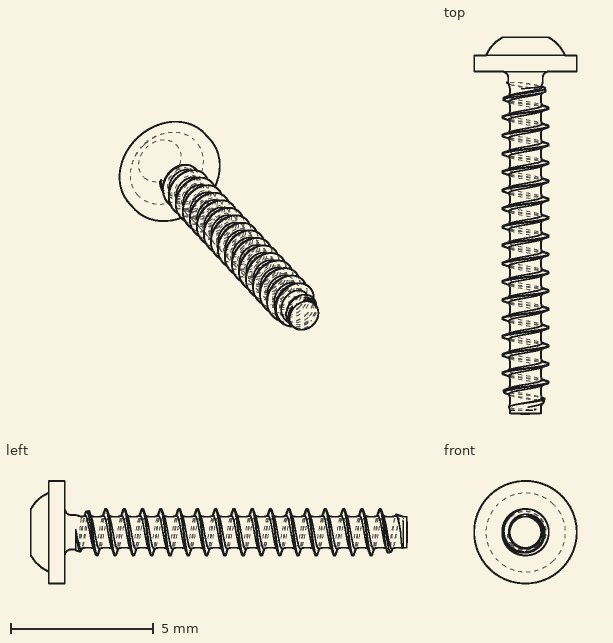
import cadquery as cq

total_length = 13.2
collar_diameter = 3.6

collar_thickness = 0.57
collar_edge_round = 0.04
dome_height = 0.63
dome_base_radius = 1.39
dome_top_radius = 0.8
dome_bulge = 0.05

neck_radius = 0.61
neck_fillet = 0.22
neck_length = 0.38
neck_taper_length = 0.21

core_radius = 0.548
tip_cone_height = 0.03
shank_length = total_length - collar_thickness - dome_height
tip_edge = -(shank_length - tip_cone_height)

pitch = 0.64
thread_turns = 19
thread_radius = 0.82
foot_radius = 0.58
root_width = 0.58
foot_width = 0.17
crest_width = 0.03
root_depth = 0.02

run_in_radius = 0.65
run_in_length = 0.88
run_out_length = 0.98
plain_tip_length = 0.04
envelope_clearance = 0.03

AXIS_START = (0, 0, 0)
AXIS_END = (0, 1, 0)


def make_head_and_neck():
    """Domed head, collar, filleted neck and the taper down to the core."""
    head_top = collar_thickness + dome_height
    collar_radius = collar_diameter / 2
    dome_middle = (
        (dome_base_radius + dome_top_radius) / 2 + dome_bulge,
        collar_thickness + dome_height / 2 + dome_bulge,
    )
    fillet_sag = neck_fillet * (1 - 0.5**0.5)
    taper_end = -(neck_length + neck_taper_length)
    blank = (
        cq.Workplane("XZ")
        .moveTo(0, head_top)
        .lineTo(dome_top_radius, head_top)
        .threePointArc(dome_middle, (dome_base_radius, collar_thickness))
        .lineTo(collar_radius, collar_thickness)
        .lineTo(collar_radius, 0)
        .lineTo(neck_radius + neck_fillet, 0)
        .threePointArc((neck_radius + fillet_sag, -fillet_sag), (neck_radius, -neck_fillet))
        .lineTo(neck_radius, -neck_length)
        .lineTo(core_radius, taper_end)
        .lineTo(0, taper_end)
        .close()
        .revolve(360, AXIS_START, AXIS_END)
    )
    rim_edges = cq.selectors.RadiusNthSelector(-1)
    return blank.edges("%CIRCLE").edges(rim_edges).fillet(collar_edge_round)


def make_core():
    """Plain core with a very flat cone on its tip."""
    return (
        cq.Workplane("YZ")
        .lineTo(core_radius, 0)
        .lineTo(core_radius, tip_edge)
        .lineTo(0, -shank_length)
        .close()
        .revolve(360, AXIS_START, AXIS_END)
    )


def make_ridge():
    """Right-hand helical ridge, its crest meeting +X a whole number of pitches below Z = 0."""
    upper_half = [
        (core_radius - root_depth, root_width / 2),
        (foot_radius, foot_width / 2),
        (thread_radius, crest_width / 2),
    ]
    lower_half = [(radius, -height) for radius, height in reversed(upper_half)]
    section = cq.Workplane("XZ").polyline(upper_half + lower_half).close()
    helix = cq.Wire.makeHelix(pitch, pitch * thread_turns, thread_radius)
    ridge = section.sweep(cq.Workplane(helix), isFrenet=True)
    return ridge.translate((0, 0, -pitch * thread_turns))


def make_thread_envelope():
    """Turned blank that tapers the crest at both ends of the thread."""
    blank_radius = thread_radius + envelope_clearance
    buried_radius = core_radius - envelope_clearance
    blank_start = -neck_length
    blank_end = tip_edge + plain_tip_length
    return (
        cq.Workplane("XZ")
        .moveTo(0, blank_start)
        .lineTo(run_in_radius, blank_start)
        .lineTo(blank_radius, blank_start - run_in_length)
        .lineTo(blank_radius, blank_end + run_out_length)
        .lineTo(buried_radius, blank_end)
        .lineTo(0, blank_end)
        .close()
        .revolve(360, AXIS_START, AXIS_END)
    )


thread = make_ridge().intersect(make_thread_envelope(), clean=False)
shank = make_core().union(thread, clean=False)
screw = make_head_and_neck().union(shank, clean=False)
result = screw.rotate((0, 0, 0), (1, 0, 0), -90)